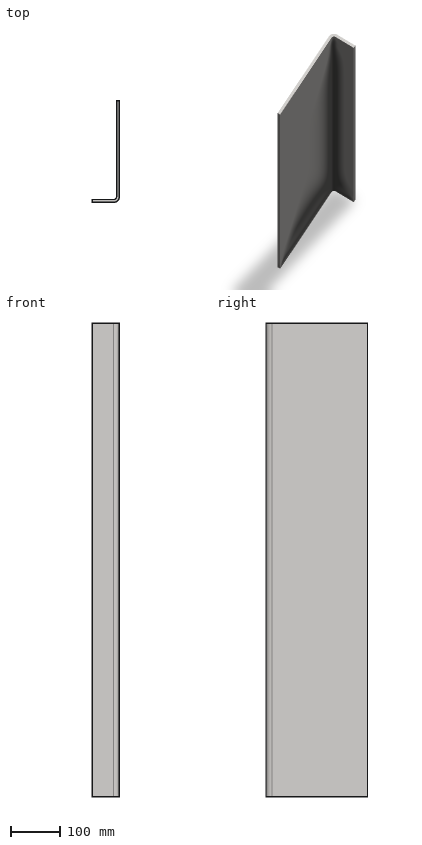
import cadquery as cq

height = 960.0
flange_width = 56.0
web_width = 206.0
thickness = 6.0
inner_bend_radius = 6.0
outer_bend_radius = inner_bend_radius + thickness

section = (
    cq.Workplane("XY")
    .moveTo(0, 0)
    .lineTo(flange_width, 0)
    .lineTo(flange_width, web_width)
    .lineTo(flange_width - thickness, web_width)
    .lineTo(flange_width - thickness, thickness)
    .lineTo(0, thickness)
    .close()
)
angle = section.extrude(height)

outer_corner = cq.selectors.NearestToPointSelector((flange_width, 0, height / 2))
inner_corner = cq.selectors.NearestToPointSelector((flange_width - thickness, thickness, height / 2))
angle = angle.edges(outer_corner).fillet(outer_bend_radius)
result = angle.edges("|Z").edges(inner_corner).fillet(inner_bend_radius)